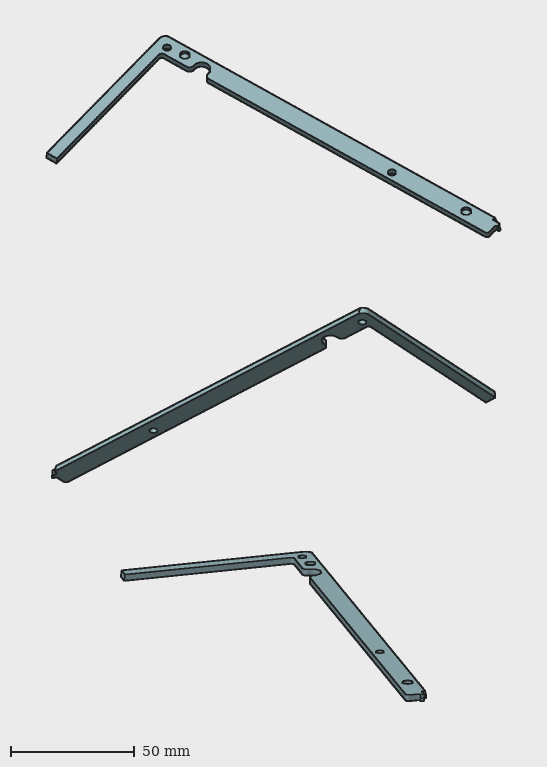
import cadquery as cq

length = 170.4
height = 80.0
thickness = 2.7

arm_width = 9.0
leg_width = 5.1
arm_bottom = height - arm_width
outer_corner_radius = 3.4
inner_corner_radius = 1.4

arm_end = 168.8
end_corner_radius = 1.4
shoulder_end = 167.1
shoulder_depth = 1.7
shoulder_radius = 0.7
tongue_top = height - shoulder_depth
tongue_bend = 169.3
tip_top = 77.9
tip_bottom = 76.8
tongue_root_radius = 1.0
tip_bevel_length = 0.9
tip_bevel_height = 1.0

edge_slope = 0.3
shoulder_slope = 1.0

notch_x = 23.5
notch_radius = 3.5
notch_top = 77.2
notch_mouth_radius = 2.0

through_diameter = 3.2
through_y = 74.6
through_xs = (5.5, 118.2)
blind_diameter = 4.1
blind_depth = 1.4
blind_y = 75.6
blind_xs = (13.6, 154.7)


def make_plate():
    """L-shaped plate with its shoulder and tongue."""
    plate = (
        cq.Workplane("XY")
        .moveTo(0, 0)
        .lineTo(leg_width, 0)
        .lineTo(leg_width, arm_bottom)
        .lineTo(arm_end, arm_bottom)
        .lineTo(arm_end, tip_bottom)
        .lineTo(length, tip_bottom)
        .lineTo(length, tip_top)
        .lineTo(tongue_bend, tongue_top)
        .lineTo(shoulder_end, tongue_top)
        .lineTo(shoulder_end, height)
        .lineTo(0, height)
        .close()
        .extrude(thickness)
    )
    rounded_corners = (
        (0, height, outer_corner_radius),
        (leg_width, arm_bottom, inner_corner_radius),
        (arm_end, arm_bottom, end_corner_radius),
        (arm_end, tip_bottom, tongue_root_radius),
        (shoulder_end, height, shoulder_radius),
    )
    for x, y, radius in rounded_corners:
        corner = cq.selectors.NearestToPointSelector((x, y, thickness / 2))
        plate = plate.edges("|Z").edges(corner).fillet(radius)
    return plate


def cut_notch(plate):
    """Cut the round-topped notch and round both edges of its mouth."""
    arc_y = notch_top - notch_radius
    left = notch_x - notch_radius
    right = notch_x + notch_radius
    notch = (
        cq.Workplane("XY")
        .moveTo(left, arm_bottom)
        .lineTo(left, arc_y)
        .threePointArc((notch_x, notch_top), (right, arc_y))
        .lineTo(right, arm_bottom)
        .close()
        .extrude(thickness)
    )
    plate = plate.cut(notch)
    for x in (left, right):
        mouth = cq.selectors.NearestToPointSelector((x, arm_bottom, thickness / 2))
        plate = plate.edges("|Z").edges(mouth).fillet(notch_mouth_radius)
    return plate


def bevel_tip(plate):
    """Slope the end of the tongue down to a sharp edge at the underside."""
    bevel_start = length - tip_bevel_length
    waste = (
        cq.Workplane("XZ", origin=(0, height, 0))
        .moveTo(length, 0)
        .lineTo(bevel_start, tip_bevel_height)
        .lineTo(bevel_start, thickness)
        .lineTo(length, thickness)
        .close()
        .extrude(arm_width)
    )
    return plate.cut(waste)


def slope_edges(plate):
    """Lean the back edge and the leg end inward toward the top face."""
    back_waste = [(height, 0), (height - edge_slope, thickness), (height, thickness)]
    end_waste = [(0, 0), (edge_slope, thickness), (0, thickness)]
    for corners in (back_waste, end_waste):
        waste = cq.Workplane("YZ").polyline(corners).close().extrude(length)
        plate = plate.cut(waste)
    return plate


def slope_shoulder(plate):
    """Lean the end of the shoulder inward toward the top face."""
    waste = (
        cq.Workplane("XZ", origin=(0, height, 0))
        .moveTo(shoulder_end, 0)
        .lineTo(shoulder_end - shoulder_slope, thickness)
        .lineTo(shoulder_end, thickness)
        .close()
        .extrude(shoulder_depth)
    )
    return plate.cut(waste)


def cut_holes(plate, xs, y, diameter, depth):
    """Cut a row of round holes downward from the top face."""
    holes = (
        cq.Workplane("XY", origin=(0, 0, thickness - depth))
        .pushPoints([(x, y) for x in xs])
        .circle(diameter / 2)
        .extrude(depth)
    )
    return plate.cut(holes)


result = make_plate()
result = cut_notch(result)
result = bevel_tip(result)
result = slope_edges(result)
result = slope_shoulder(result)
result = cut_holes(result, through_xs, through_y, through_diameter, thickness)
result = cut_holes(result, blind_xs, blind_y, blind_diameter, blind_depth)